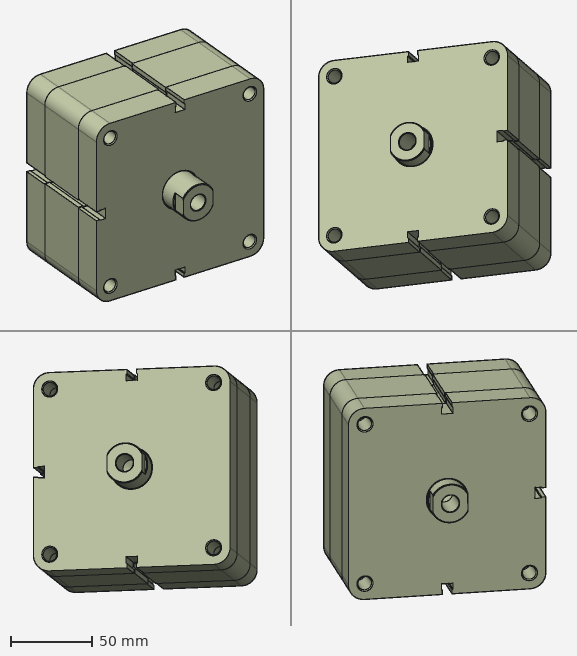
import cadquery as cq
import math

SIDE = 124.0
CORNER_RADIUS = 10.0
TOTAL_LENGTH = 107.0
COVER_THICKNESS = 20.0
SHORT_ROD_END = 10.0
LONG_ROD_END = 20.0

ROD_DIAMETER = 25.0
ROD_CHAMFER = 0.5
FLAT_WIDTH = 22.0
FLAT_LENGTH = 8.7
ROD_HOLE_DIAMETER = 10.8
ROD_HOLE_CHAMFER = 0.4
ROD_HOLE_DEPTH = 20.0
DRILL_POINT_ANGLE = 118.0

BORE_CHAMFER = 0.6

BOLT_SPACING = 103.3
BOLT_HOLE_DIAMETER = 8.5
BOLT_HOLE_CHAMFER = 0.7

SLOT_DEPTH = 7.0
COVER_SLOT_MOUTH = 6.1
COVER_SLOT_WIDTH = 7.1
BARREL_SLOT_MOUTH = 5.0
BARREL_SLOT_WIDTH = 6.0
COVER_SLOT_NECK = 2.6
BARREL_SLOT_NECK = 3.3
SLOT_ANGLES = (0, 90, 180)

rod_start = -TOTAL_LENGTH / 2
rod_end = TOTAL_LENGTH / 2
housing_start = rod_start + SHORT_ROD_END
housing_end = rod_end - LONG_ROD_END
barrel_start = housing_start + COVER_THICKNESS
barrel_end = housing_end - COVER_THICKNESS


def cross_section(x):
    """Plane square to the rod at x, with local axes along Y and Z."""
    return cq.Workplane("YZ", origin=(x, 0, 0))


def slot_cutter(start, end, mouth, width, neck_depth):
    """Undercut slots in three of the four sides: top, bottom and -Y."""
    bottom = SIDE / 2 - SLOT_DEPTH
    neck = SIDE / 2 - neck_depth
    shoulder = neck - (width - mouth) / 2
    profile = [
        (-mouth / 2, SIDE / 2),
        (-mouth / 2, neck),
        (-width / 2, shoulder),
        (-width / 2, bottom),
        (width / 2, bottom),
        (width / 2, shoulder),
        (mouth / 2, neck),
        (mouth / 2, SIDE / 2),
    ]
    slot = cross_section(start).polyline(profile).close().extrude(end - start)
    cutter = cq.Workplane()
    for angle in SLOT_ANGLES:
        cutter = cutter.add(slot.rotate((0, 0, 0), (1, 0, 0), angle))
    return cutter.combine()


def housing_block(start, end, slot_mouth, slot_width, slot_neck):
    """Rounded square block with slots, corner bolt holes and a bore that fits the rod."""
    block = cross_section(start).rect(SIDE, SIDE).extrude(end - start)
    block = block.edges("|X").fillet(CORNER_RADIUS)
    bolt_holes = (
        cross_section(start)
        .rect(BOLT_SPACING, BOLT_SPACING, forConstruction=True)
        .vertices()
        .circle(BOLT_HOLE_DIAMETER / 2)
        .extrude(end - start)
    )
    bore = cross_section(start).circle(ROD_DIAMETER / 2).extrude(end - start)
    return block.cut(bolt_holes).cut(bore).cut(slot_cutter(start, end, slot_mouth, slot_width, slot_neck))


def cone(base, direction, base_radius, height, tip_radius):
    """Solid cone frustum along X, starting at the base point."""
    return cq.Solid.makeCone(base_radius, tip_radius, height, pnt=base, dir=(direction, 0, 0))


def make_cover(outer_x, inward):
    """End cover with its holes chamfered on the outer face; inward (+1 or -1) points to the barrel."""
    inner_x = outer_x + inward * COVER_THICKNESS
    start = min(outer_x, inner_x)
    end = max(outer_x, inner_x)
    cover = housing_block(start, end, COVER_SLOT_MOUTH, COVER_SLOT_WIDTH, COVER_SLOT_NECK)
    holes = [(0, 0, ROD_DIAMETER / 2, BORE_CHAMFER)]
    for y in (-BOLT_SPACING / 2, BOLT_SPACING / 2):
        for z in (-BOLT_SPACING / 2, BOLT_SPACING / 2):
            holes.append((y, z, BOLT_HOLE_DIAMETER / 2, BOLT_HOLE_CHAMFER))
    for y, z, radius, chamfer in holes:
        cover = cover.cut(cone((outer_x, y, z), inward, radius + chamfer, chamfer, radius))
    return cover


def make_barrel():
    return housing_block(barrel_start, barrel_end, BARREL_SLOT_MOUTH, BARREL_SLOT_WIDTH, BARREL_SLOT_NECK)


def rod_blank():
    """Round rod with chamfered rims and a chamfered, drill-pointed blind hole in each end."""
    radius = ROD_DIAMETER / 2
    hole_radius = ROD_HOLE_DIAMETER / 2
    hole_bottom = rod_end - ROD_HOLE_DEPTH
    hole_tip = hole_bottom - hole_radius / math.tan(math.radians(DRILL_POINT_ANGLE / 2))
    end_profile = [
        (hole_tip, 0),
        (hole_bottom, hole_radius),
        (rod_end - ROD_HOLE_CHAMFER, hole_radius),
        (rod_end, hole_radius + ROD_HOLE_CHAMFER),
        (rod_end, radius - ROD_CHAMFER),
        (rod_end - ROD_CHAMFER, radius),
    ]
    mirrored_profile = [(-x, r) for x, r in reversed(end_profile)]
    profile = cq.Workplane("XZ").polyline(end_profile + mirrored_profile).close()
    return profile.revolve(360, (0, 0, 0), (1, 0, 0))


def flats_cutter(end_x, inward):
    """Removes two wrench flats at a rod end and chamfers the round rim of their shoulders."""
    radius = ROD_DIAMETER / 2
    shoulder_x = end_x + inward * FLAT_LENGTH
    cut_length = FLAT_LENGTH + ROD_CHAMFER
    slab = cq.Workplane("XY").box(cut_length, ROD_DIAMETER, ROD_DIAMETER)
    slab = slab.cut(cq.Workplane("XY").box(cut_length, FLAT_WIDTH, ROD_DIAMETER))
    slab = slab.translate((end_x + inward * cut_length / 2, 0, 0))
    shoulder_rim = cone((shoulder_x, 0, 0), inward, radius - ROD_CHAMFER, ROD_CHAMFER, radius)
    return slab.cut(cq.Workplane(shoulder_rim))


def make_rod():
    rod = rod_blank()
    for end_x, inward in ((rod_start, 1), (rod_end, -1)):
        rod = rod.cut(flats_cutter(end_x, inward))
    return rod


left_cover = make_cover(housing_start, 1)
right_cover = make_cover(housing_end, -1)
barrel = make_barrel()
rod = make_rod()

result = cq.Compound.makeCompound([left_cover.val(), barrel.val(), right_cover.val(), rod.val()])